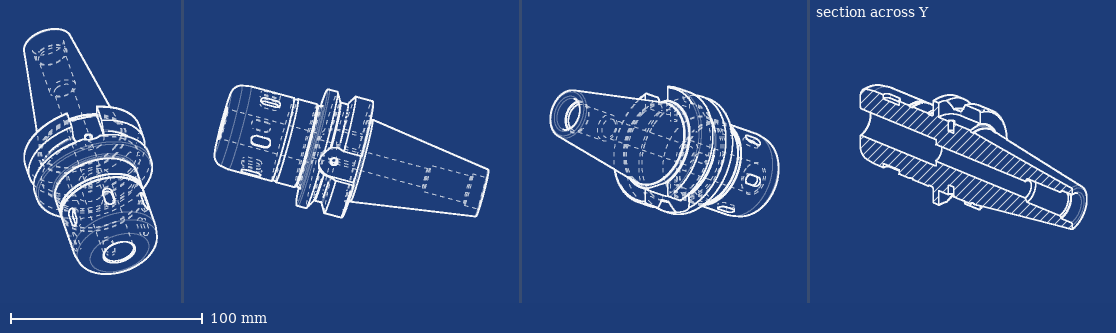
import cadquery as cq
import math


gauge_diameter = 44.45
taper_ratio = 7 / 24
shank_length = 65.4
shank_end_radius = (gauge_diameter - shank_length * taper_ratio) / 2
shank_end_rounding = 1.0

neck_diameter = 43.5
neck_fillet = 0.9

flange_diameter = 63.0
flange_start = 2.0
flange_end = 27.0
flange_rounding = 0.9
groove_diameter = 53.0
groove_center = 16.6
groove_floor_width = 4.0
groove_wall_angle = 30.0
groove_corner_fillet = 0.6

ring_groove_inner_radius = 23.5
ring_groove_width = 0.4
ring_groove_depth = 0.3

collar_diameter = 44.0
collar_fillet = 0.75
collar_end = 28.6
nut_start = 29.4

nut_diameter = 45.0
nut_chamfer = (nut_diameter - neck_diameter) / 2
nut_groove_diameter = 44.0
nut_groove_start = 40.3
nut_groove_end = 42.5
nose_start = 65.9
nose_cone_end = 70.6
nose_cone_radius = 21.7
nose_round_radius = 6.0
nut_end = 75.0

keyway_width = 16.1
keyway_floor_height = 22.7
keyway_round_center = 14.9
screw_hole_diameter = 3.4
screw_hole_mouth_diameter = 4.0
screw_hole_depth = 6.0

slot_count = 6
slot_center = 54.5
slot_length = 10.3
slot_width = 5.0
slot_floor_radius = 20.0

through_bore_diameter = 10.0
pilot_bore_diameter = 17.0
pilot_bore_depth = 7.5
pilot_mouth_rounding = 1.0
thread_mouth_diameter = 16.0
thread_bore_diameter = 14.25
thread_bore_depth = 30.0
drill_tip_angle = 120.0
tool_bore_diameter = 16.0
tool_bore_mouth_diameter = 17.4
tool_bore_depth = 50.0


def make_body():
    """Solid of revolution: shank, neck, flange, collar and nut."""
    neck_radius = neck_diameter / 2
    flange_radius = flange_diameter / 2
    groove_radius = groove_diameter / 2
    collar_radius = collar_diameter / 2
    nut_radius = nut_diameter / 2
    nut_groove_radius = nut_groove_diameter / 2

    wall_run = (flange_radius - groove_radius) * math.tan(math.radians(groove_wall_angle))
    floor_start = groove_center - groove_floor_width / 2
    floor_end = groove_center + groove_floor_width / 2

    round_center_x = nut_end - nose_round_radius
    round_rise = math.sqrt(nose_round_radius**2 - (nose_cone_end - round_center_x) ** 2)
    nose_face_radius = nose_cone_radius - round_rise

    corner_setback = groove_corner_fillet * math.tan(math.radians(90 - groove_wall_angle) / 2)
    corner_run = corner_setback * math.sin(math.radians(groove_wall_angle))
    corner_radius = groove_radius + corner_setback * math.cos(math.radians(groove_wall_angle))
    rounded_taper_radius = shank_end_radius + shank_end_rounding * taper_ratio / 2

    profile = (
        cq.Workplane("XY")
        .moveTo(-shank_length, 0)
        .lineTo(-shank_length, rounded_taper_radius - shank_end_rounding)
        .radiusArc((-shank_length + shank_end_rounding, rounded_taper_radius), shank_end_rounding)
        .lineTo(0, gauge_diameter / 2)
        .lineTo(0, neck_radius)
        .lineTo(flange_start - neck_fillet, neck_radius)
        .radiusArc((flange_start, neck_radius + neck_fillet), -neck_fillet)
        .lineTo(flange_start, flange_radius - flange_rounding)
        .radiusArc((flange_start + flange_rounding, flange_radius), flange_rounding)
        .lineTo(floor_start - wall_run, flange_radius)
        .lineTo(floor_start - corner_run, corner_radius)
        .radiusArc((floor_start + corner_setback, groove_radius), -groove_corner_fillet)
        .lineTo(floor_end - corner_setback, groove_radius)
        .radiusArc((floor_end + corner_run, corner_radius), -groove_corner_fillet)
        .lineTo(floor_end + wall_run, flange_radius)
        .lineTo(flange_end - flange_rounding, flange_radius)
        .radiusArc((flange_end, flange_radius - flange_rounding), flange_rounding)
        .lineTo(flange_end, collar_radius + collar_fillet)
        .radiusArc((flange_end + collar_fillet, collar_radius), -collar_fillet)
        .lineTo(collar_end, collar_radius)
        .lineTo(nut_start, neck_radius)
        .lineTo(nut_start + nut_chamfer, nut_radius)
        .lineTo(nut_groove_start, nut_radius)
        .lineTo(nut_groove_start, nut_groove_radius)
        .lineTo(nut_groove_end, nut_groove_radius)
        .lineTo(nut_groove_end, nut_radius)
        .lineTo(nose_start, nut_radius)
        .lineTo(nose_cone_end, nose_cone_radius)
        .radiusArc((nut_end, nose_face_radius), nose_round_radius)
        .lineTo(nut_end, 0)
        .close()
    )
    return profile.revolve(360, (0, 0, 0), (1, 0, 0))


def make_axial_bores():
    """Draw-bar end bores, the through bore and the tool bore."""
    pilot_radius = pilot_bore_diameter / 2
    thread_radius = thread_bore_diameter / 2
    through_radius = through_bore_diameter / 2
    tool_radius = tool_bore_diameter / 2
    pilot_bottom = -shank_length + pilot_bore_depth
    thread_countersink = (thread_mouth_diameter - thread_bore_diameter) / 2
    thread_bottom = -shank_length + thread_bore_depth
    drill_tip_length = (thread_radius - through_radius) / math.tan(math.radians(drill_tip_angle / 2))
    tool_mouth_radius = tool_bore_mouth_diameter / 2
    tool_chamfer = tool_mouth_radius - tool_radius
    tool_bottom = nut_end - tool_bore_depth

    profile = (
        cq.Workplane("XY")
        .moveTo(-shank_length, 0)
        .lineTo(-shank_length, pilot_radius + pilot_mouth_rounding)
        .radiusArc((-shank_length + pilot_mouth_rounding, pilot_radius), -pilot_mouth_rounding)
        .lineTo(pilot_bottom, pilot_radius)
        .lineTo(pilot_bottom, thread_mouth_diameter / 2)
        .lineTo(pilot_bottom + thread_countersink, thread_radius)
        .lineTo(thread_bottom, thread_radius)
        .lineTo(thread_bottom + drill_tip_length, through_radius)
        .lineTo(tool_bottom, through_radius)
        .lineTo(tool_bottom, tool_radius)
        .lineTo(nut_end - tool_chamfer, tool_radius)
        .lineTo(nut_end, tool_mouth_radius)
        .lineTo(nut_end, 0)
        .close()
    )
    return profile.revolve(360, (0, 0, 0), (1, 0, 0))


def make_ring_groove():
    """Thin ring cut into the shank-side flange face."""
    outer_radius = ring_groove_inner_radius + ring_groove_width
    return (
        cq.Workplane("YZ")
        .workplane(offset=flange_start)
        .circle(outer_radius)
        .circle(ring_groove_inner_radius)
        .extrude(ring_groove_depth)
    )


def make_keyway():
    """Round-ended keyway on the +Z side, with the screw hole in its floor."""
    keyway_depth = flange_diameter / 2 - keyway_floor_height
    floor = cq.Workplane("XY").workplane(offset=keyway_floor_height)
    straight = (
        floor.center(keyway_round_center / 2, 0)
        .rect(keyway_round_center, keyway_width)
        .extrude(keyway_depth)
    )
    round_end = floor.center(keyway_round_center, 0).circle(keyway_width / 2).extrude(keyway_depth)

    mouth_radius = screw_hole_mouth_diameter / 2
    hole_radius = screw_hole_diameter / 2
    mouth_chamfer = mouth_radius - hole_radius
    hole = floor.center(keyway_round_center, 0).circle(hole_radius).extrude(-screw_hole_depth)
    hole_mouth = cq.Workplane(
        cq.Solid.makeCone(
            mouth_radius,
            hole_radius,
            mouth_chamfer,
            cq.Vector(keyway_round_center, 0, keyway_floor_height),
            cq.Vector(0, 0, -1),
        )
    )
    return straight.union(round_end).union(hole).union(hole_mouth)


def make_spanner_slot():
    """Flat-bottomed slot on the +Z side of the nut."""
    return (
        cq.Workplane("XY")
        .workplane(offset=slot_floor_radius)
        .center(slot_center, 0)
        .slot2D(slot_length, slot_width)
        .extrude(nut_diameter / 2 - slot_floor_radius)
    )


def rotated_about_axis(shape, angle):
    return shape.rotate((0, 0, 0), (1, 0, 0), angle)


result = make_body().cut(make_axial_bores()).cut(make_ring_groove())

keyway = make_keyway()
for angle in (0, 180):
    result = result.cut(rotated_about_axis(keyway, angle))

spanner_slot = make_spanner_slot()
for index in range(slot_count):
    result = result.cut(rotated_about_axis(spanner_slot, index * 360 / slot_count))